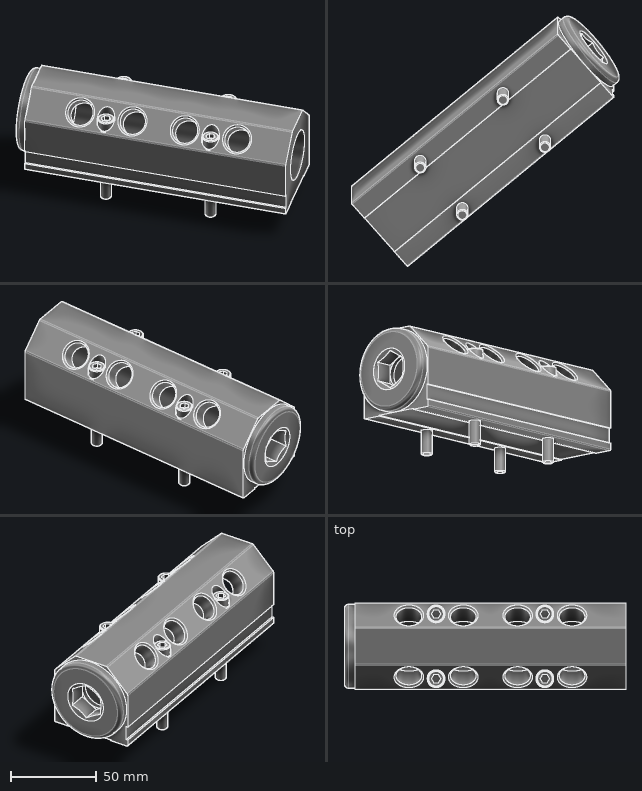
import cadquery as cq
import math


overall_length = 164.8

housing_length = 158.8
housing_width = 50.8
housing_top = 25.2
housing_bottom = -25.2
shoulder_cut = 14.5
shoulder_round = 1.3
foot_round = 0.7
foot_width = 11.9
foot_height = 0.5
bore_diameter = 30.0

groove_bottom = -20.8
groove_height = 8.9
groove_depth = 1.2

port_pitch = 31.8
port_diameter = 15.0
port_mouth_diameter = 17.3
port_columns = (-1.5, -0.5, 0.5, 1.5)

screw_columns = (-1, 1)
screw_offset = 19.0
screw_diameter = 6.6
screw_tip = -39.7
screw_tip_chamfer = 0.7
screw_head_diameter = 9.5
screw_head_height = 6.5
screw_head_top = 17.6
screw_head_chamfer = 0.5
screw_socket_width = 4.8
screw_socket_depth = 3.1
counterbore_diameter = 10.4

plug_head_diameter = 49.3
plug_head_length = overall_length - housing_length
plug_head_round = 2.5
plug_shank_length = 19.8
plug_socket_width = 19.3
plug_socket_depth = 11.5
plug_pilot_depth = 14.8
plug_countersink_diameter = 24.7
plug_countersink_angle = 120

half_width = housing_width / 2
housing_middle = housing_length / 2
screw_head_bottom = screw_head_top - screw_head_height


def hexagon_diameter(across_flats):
    """Diameter across the corners of a hexagon."""
    return across_flats / math.cos(math.pi / 6)


def housing_blank():
    """Square bar with two 45 degree top flats and two shallow feet along its bottom edges."""
    height = housing_top - housing_bottom
    blank = cq.Workplane("XY").box(housing_length, housing_width, height, centered=(False, True, False))
    blank = blank.translate((0, 0, housing_bottom))
    blank = blank.edges("|X and >Z").chamfer(shoulder_cut)
    blank = blank.edges("|X").edges(">>Z[-1] or >>Z[-2]").fillet(shoulder_round)
    blank = blank.edges("|X and <Z").fillet(foot_round)
    relief = cq.Workplane("XY").box(
        housing_length, housing_width - 2 * foot_width, foot_height, centered=(False, True, False)
    )
    return blank.cut(relief.translate((0, 0, housing_bottom)))


def side_groove():
    """Shallow rectangular groove along the -Y side."""
    groove = cq.Workplane("XY").box(housing_length, groove_depth, groove_height, centered=False)
    return groove.translate((0, -half_width, groove_bottom))


def port(x, side):
    """Countersunk port from the flat on one side (-1 or 1 along Y) square to it into the bore."""
    face_distance = (half_width + housing_top - shoulder_cut) / math.sqrt(2)
    mouth_radius = port_mouth_diameter / 2
    radius = port_diameter / 2
    cone_end = face_distance - (mouth_radius - radius)
    profile = [(0, 0), (radius, 0), (radius, cone_end), (mouth_radius, face_distance), (0, face_distance)]
    cutter = cq.Workplane("XZ").polyline(profile).close().revolve(360, (0, 0, 0), (0, 1, 0))
    return cutter.rotate((0, 0, 0), (1, 0, 0), -45 * side).translate((x, 0, 0))


def screw_hole(x, y):
    """Clearance for one cap screw: a through hole with a counterbore down to the head seat."""
    hole = cq.Workplane("XY", origin=(x, y, housing_bottom)).circle(screw_diameter / 2)
    hole = hole.extrude(housing_top - housing_bottom)
    counterbore = cq.Workplane("XY", origin=(x, y, screw_head_bottom)).circle(counterbore_diameter / 2)
    return hole.union(counterbore.extrude(housing_top - screw_head_bottom))


def make_housing():
    bore = cq.Workplane("YZ").circle(bore_diameter / 2).extrude(housing_length)
    housing = housing_blank().cut(bore).cut(side_groove())
    for side in (-1, 1):
        for column in port_columns:
            housing = housing.cut(port(housing_middle + column * port_pitch, side))
        for column in screw_columns:
            housing = housing.cut(screw_hole(housing_middle + column * port_pitch, side * screw_offset))
    return housing


def make_screw(x, y):
    """Socket head cap screw pointing down."""
    shank = cq.Workplane("XY", origin=(0, 0, screw_tip)).circle(screw_diameter / 2)
    shank = shank.extrude(screw_head_bottom - screw_tip).faces("<Z").chamfer(screw_tip_chamfer)
    head = cq.Workplane("XY", origin=(0, 0, screw_head_bottom)).circle(screw_head_diameter / 2)
    head = head.extrude(screw_head_height).faces(">Z").edges().chamfer(screw_head_chamfer)
    socket = cq.Workplane("XY", origin=(0, 0, screw_head_top))
    socket = socket.polygon(6, hexagon_diameter(screw_socket_width)).extrude(-screw_socket_depth)
    return shank.union(head).cut(socket).translate((x, y, 0))


def make_plug():
    """Round plug with a countersunk hexagon socket, seated in the bore."""
    head = cq.Workplane("YZ").circle(plug_head_diameter / 2).extrude(-plug_head_length)
    head = head.faces("<X").edges().fillet(plug_head_round)
    shank = cq.Workplane("YZ").circle(bore_diameter / 2).extrude(plug_shank_length)
    outer_face = cq.Workplane("YZ", origin=(-plug_head_length, 0, 0))
    socket = outer_face.transformed(rotate=(0, 0, 90))
    socket = socket.polygon(6, hexagon_diameter(plug_socket_width)).extrude(plug_socket_depth)
    pilot = outer_face.circle(plug_socket_width / 2).extrude(plug_pilot_depth)
    countersink_radius = plug_countersink_diameter / 2
    countersink_depth = countersink_radius / math.tan(math.radians(plug_countersink_angle / 2))
    countersink = cq.Workplane(cq.Solid.makeCone(
        countersink_radius, 0, countersink_depth, cq.Vector(-plug_head_length, 0, 0), cq.Vector(1, 0, 0)
    ))
    return head.union(shank).cut(socket).cut(pilot).cut(countersink)


housing = make_housing()
plug = make_plug()
screws = [
    make_screw(housing_middle + column * port_pitch, side * screw_offset)
    for side in (-1, 1)
    for column in screw_columns
]

result = cq.Compound.makeCompound([housing.val(), plug.val(), *[screw.val() for screw in screws]])